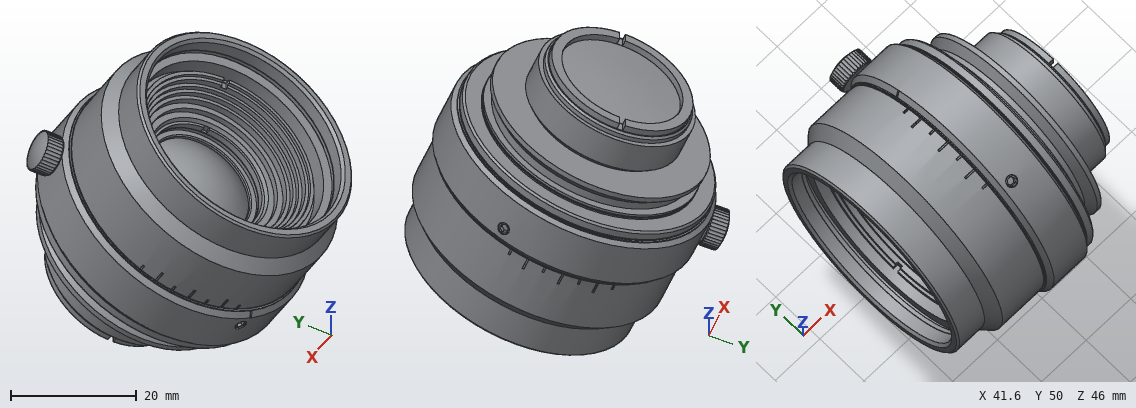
import cadquery as cq
import math

LENGTH = 41.65

HOOD_R = 20.0
HOOD_END = 5.95
RIM_CHAMFER = 0.35
BARREL_R = 22.0
BARREL_START = 8.0
BARREL_END = 17.3
RING_R = 23.0
RING_GROOVE_R = 21.9
RING_START = 17.5
RING_CHAMFER_START = 17.7
RING_FLAT_START = 18.55
RING_FLAT_END = 26.0
RING_CHAMFER_END = 26.55
RING_END = 26.75
RING_EDGE_R = 22.2
COLLAR_START = 27.0
COLLAR_END = 28.6
COLLAR_CHAMFER = 0.35

FLANGE_R = 18.9
FLANGE_GROOVE_R = 18.8
FLANGE_GROOVE_START = 28.85
FLANGE_GROOVE_END = 29.05
FLANGE_END = 29.55
V_FLOOR_R = 17.5
V_FLOOR_END = 30.9
V_RIM_END = 33.2

REAR_R = 13.6
REAR_START_R = 12.6
REAR_END = 39.45
STEP_R = 12.8
STEP_END = 40.55
STEP_CHAMFER = 0.35
END_R = 24.5 / 2
REAR_BORE_R = 21 / 2
REAR_BORE_DEPTH = 1.1
REAR_LENS_HEIGHT = 0.45
REAR_SLOT_DEPTH = 1.05
REAR_SLOT_BOTTOM_R = 10.25

MOUTH_R = 18.6
MOUTH_CHAMFER = 0.5
FILTER_R = MOUTH_R - MOUTH_CHAMFER
UNDERCUT = 0.1
FILTER_UNDERCUT_X = 2.75
FILTER_END = 3.5
FILTER_RELIEF_R = 19.0
FILTER_SEAT_X = 4.15
BAFFLE_BORE_R = 17.05
BAFFLE_R = 32.5 / 2
BAFFLE_GAP_END = 7.0
BAFFLE_X = 5.8
BAFFLE_STEPS = [
    (15.6, 6.35),
    (15.0, 7.4),
    (14.4, 8.2),
    (13.8, 9.1),
    (13.15, 10.25),
    (24.3 / 2, 11.25),
]
RETAINER_CONE_R = 22.1 / 2
RETAINER_FACE_R = 21.45 / 2
RETAINER_X = 11.9
RETAINER_BORE_R = 20.5 / 2
RETAINER_UNDERCUT_X = 13.05
LENS_SEAT_X = 13.75
LENS_R = 18.5 / 2
LENS_SEAT_CHAMFER = 0.2
LENS_EDGE_X = 14.4
LENS_HEIGHT = 3.25

SLOT_WIDTH = 1.0
SPANNER_SLOT_DEPTH = 1.0
BAFFLE_SLOT_BOTTOM_R = 14.95
RETAINER_SLOT_BOTTOM_R = 10.2

SCREW_X = 20.45
SCREW_STEP = 120
SCREW_DEPTH = 1.0
KNOB_TOP = 27.0
KNOB_R = 3.45
KNOB_DOME = 0.75
KNOB_BOTTOM = 23.35
KNOB_CHAMFER = 0.25
KNOB_CHAMFER_HEIGHT = 0.5
KNOB_STEM_R = 2.05 / 2
KNURL_COUNT = 36
KNURL_R = 0.35
KNURL_OFFSET = 0.15
SET_SCREW_HOLE_R = 2.05 / 2
SET_SCREW_R = 1.9 / 2
SET_SCREW_TOP_R = 22.8
HEX_ACROSS_CORNERS = 1.5
HEX_DEPTH = 0.75

TICK_COUNT = 7
TICK_STEP = 8
TICK_OFFSET = 0.5
TICK_WIDTH = 0.3
TICK_DEPTH = 0.1
SHORT_TICK = 1.0
LONG_TICK = 2.05
INDEX_ANGLE = 32


def drop_at_half_radius(rim_r, height):
    """How far a spherical dome has fallen below its apex at half its rim radius."""
    sphere_r = (rim_r**2 + height**2) / (2 * height)
    return sphere_r - math.sqrt(sphere_r**2 - (rim_r / 2) ** 2)


def lens_body():
    """The turned body: outside, rear recess with its lens, then the stepped front bore and its lens."""
    v_rim_start = V_FLOOR_END + FLANGE_R - V_FLOOR_R
    rear_start = V_RIM_END + REAR_R - REAR_START_R
    lens_apex = LENS_EDGE_X - LENS_HEIGHT
    lens_mid = (lens_apex + drop_at_half_radius(LENS_R, LENS_HEIGHT), LENS_R / 2)
    rear_floor = LENGTH - REAR_BORE_DEPTH
    rear_apex = rear_floor + REAR_LENS_HEIGHT
    rear_mid = (rear_apex - drop_at_half_radius(REAR_BORE_R, REAR_LENS_HEIGHT), REAR_BORE_R / 2)

    outside = [
        (0, HOOD_R - RIM_CHAMFER),
        (RIM_CHAMFER, HOOD_R),
        (HOOD_END, HOOD_R),
        (BARREL_START, BARREL_R),
        (BARREL_END, BARREL_R),
        (BARREL_END, RING_GROOVE_R),
        (RING_START, RING_GROOVE_R),
        (RING_START, RING_EDGE_R),
        (RING_CHAMFER_START, RING_EDGE_R),
        (RING_FLAT_START, RING_R),
        (RING_FLAT_END, RING_R),
        (RING_CHAMFER_END, RING_EDGE_R),
        (RING_END, RING_EDGE_R),
        (RING_END, RING_GROOVE_R),
        (COLLAR_START, RING_GROOVE_R),
        (COLLAR_START, BARREL_R),
        (COLLAR_END - COLLAR_CHAMFER, BARREL_R),
        (COLLAR_END, BARREL_R - COLLAR_CHAMFER),
        (COLLAR_END, FLANGE_R),
        (FLANGE_GROOVE_START, FLANGE_R),
        (FLANGE_GROOVE_START, FLANGE_GROOVE_R),
        (FLANGE_GROOVE_END, FLANGE_GROOVE_R),
        (FLANGE_GROOVE_END, FLANGE_R),
        (FLANGE_END, FLANGE_R),
        (FLANGE_END, V_FLOOR_R),
        (V_FLOOR_END, V_FLOOR_R),
        (v_rim_start, FLANGE_R),
        (V_RIM_END, FLANGE_R),
        (V_RIM_END, REAR_START_R),
        (rear_start, REAR_R),
        (REAR_END, REAR_R),
        (REAR_END, STEP_R),
        (STEP_END - STEP_CHAMFER, STEP_R),
        (STEP_END, STEP_R - STEP_CHAMFER),
        (STEP_END, END_R),
        (LENGTH, END_R),
        (LENGTH, REAR_BORE_R),
        (rear_floor, REAR_BORE_R),
    ]
    front_bore = [
        (LENS_EDGE_X, LENS_R),
        (LENS_SEAT_X + LENS_SEAT_CHAMFER, LENS_R),
        (LENS_SEAT_X, LENS_R + LENS_SEAT_CHAMFER),
        (LENS_SEAT_X, RETAINER_BORE_R + UNDERCUT),
        (RETAINER_UNDERCUT_X, RETAINER_BORE_R + UNDERCUT),
        (RETAINER_UNDERCUT_X, RETAINER_BORE_R),
        (RETAINER_X, RETAINER_BORE_R),
        (RETAINER_X, RETAINER_FACE_R),
    ]
    step_r = RETAINER_CONE_R
    for bore_r, bore_end in reversed(BAFFLE_STEPS):
        front_bore += [(bore_end, step_r), (bore_end, bore_r)]
        step_r = bore_r
    front_bore += [
        (BAFFLE_X, step_r),
        (BAFFLE_X, BAFFLE_R),
        (BAFFLE_GAP_END, BAFFLE_R),
        (BAFFLE_GAP_END, BAFFLE_BORE_R),
        (FILTER_SEAT_X, BAFFLE_BORE_R),
        (FILTER_SEAT_X, FILTER_RELIEF_R),
        (FILTER_END, FILTER_RELIEF_R),
        (FILTER_END, FILTER_R + UNDERCUT),
        (FILTER_UNDERCUT_X, FILTER_R + UNDERCUT),
        (FILTER_UNDERCUT_X, FILTER_R),
        (MOUTH_CHAMFER, FILTER_R),
        (0, MOUTH_R),
    ]
    profile = (
        cq.Workplane("XY")
        .polyline(outside)
        .threePointArc(rear_mid, (rear_apex, 0))
        .lineTo(lens_apex, 0)
        .threePointArc(lens_mid, front_bore[0])
    )
    for point in front_bore[1:]:
        profile = profile.lineTo(*point)
    return profile.close().revolve(360, (0, 0, 0), (1, 0, 0))


def slot_pair(start, end, inner_r, outer_r):
    """Two radial slots, on +Z and -Z, from X = start to X = end."""
    upper = cq.Workplane("XY").box(
        end - start, SLOT_WIDTH, outer_r - inner_r, centered=(False, True, False)
    ).translate((start, 0, inner_r))
    return upper.union(upper.mirror("XY"))


def thumb_screw():
    profile = (
        cq.Workplane("XY")
        .moveTo(0, RING_R - SCREW_DEPTH)
        .lineTo(KNOB_STEM_R, RING_R - SCREW_DEPTH)
        .lineTo(KNOB_STEM_R, KNOB_BOTTOM)
        .lineTo(KNOB_R - KNOB_CHAMFER, KNOB_BOTTOM)
        .lineTo(KNOB_R, KNOB_BOTTOM + KNOB_CHAMFER_HEIGHT)
        .lineTo(KNOB_R, KNOB_TOP - KNOB_DOME)
    )
    dome_mid = (KNOB_R / 2, KNOB_TOP - drop_at_half_radius(KNOB_R, KNOB_DOME))
    profile = profile.threePointArc(dome_mid, (0, KNOB_TOP)).close()
    screw = profile.revolve(360, (0, 0, 0), (0, 1, 0))
    knurls = (
        cq.Workplane("XZ", origin=(0, KNOB_TOP, 0))
        .polarArray(KNOB_R + KNURL_OFFSET, 0, 360, KNURL_COUNT)
        .circle(KNURL_R)
        .extrude(KNOB_TOP - KNOB_BOTTOM)
    )
    return screw.cut(knurls).translate((SCREW_X, 0, 0))


def set_screw_recess():
    """Removed volume on +Y: clearance ring around the screw, space above it, and its hex socket."""
    bottom = RING_R - SCREW_DEPTH
    outward = cq.Workplane("XZ", origin=(SCREW_X, bottom, 0))
    hole = outward.circle(SET_SCREW_HOLE_R).extrude(-2 * SCREW_DEPTH)
    screw = outward.circle(SET_SCREW_R).extrude(bottom - SET_SCREW_TOP_R)
    socket = (
        cq.Workplane("XZ", origin=(SCREW_X, SET_SCREW_TOP_R, 0))
        .polygon(6, HEX_ACROSS_CORNERS)
        .extrude(HEX_DEPTH)
    )
    return hole.cut(screw).union(socket)


def turn(shape, angle):
    return shape.rotate((0, 0, 0), (1, 0, 0), angle)


def tick(end_x, length, floor_r):
    """Cutter on +Z for one engraved line that ends at X = end_x, cut down to floor_r."""
    return cq.Workplane("XY").box(
        length, TICK_WIDTH, 2 * RING_R - floor_r, centered=(False, True, False)
    ).translate((end_x - length, 0, floor_r))


def engrave_scale(body):
    for side in (0, 180):
        for i in range(TICK_COUNT):
            length = LONG_TICK if i % 2 else SHORT_TICK
            angle = side + TICK_OFFSET + (i - TICK_COUNT // 2) * TICK_STEP
            body = body.cut(turn(tick(BARREL_END, length, BARREL_R - TICK_DEPTH), angle))
        index = tick(RING_FLAT_START, RING_FLAT_START - RING_CHAMFER_START, RING_EDGE_R)
        body = body.cut(turn(index, side - INDEX_ANGLE))
    return body


def cut_spanner_slots(body):
    baffle_gap_mid_r = (BAFFLE_R + BAFFLE_BORE_R) / 2
    baffle_end = BAFFLE_X + SPANNER_SLOT_DEPTH
    retainer_end = RETAINER_X + SPANNER_SLOT_DEPTH
    rear_start = LENGTH - REAR_SLOT_DEPTH
    body = body.cut(slot_pair(BAFFLE_X, baffle_end, BAFFLE_SLOT_BOTTOM_R, baffle_gap_mid_r))
    body = body.cut(slot_pair(RETAINER_X, retainer_end, RETAINER_SLOT_BOTTOM_R, RETAINER_FACE_R))
    return body.cut(slot_pair(rear_start, LENGTH, REAR_SLOT_BOTTOM_R, STEP_R))


result = cut_spanner_slots(lens_body())
for angle in (SCREW_STEP, 2 * SCREW_STEP):
    result = result.cut(turn(set_screw_recess(), angle))
result = engrave_scale(result)
result = result.union(thumb_screw())